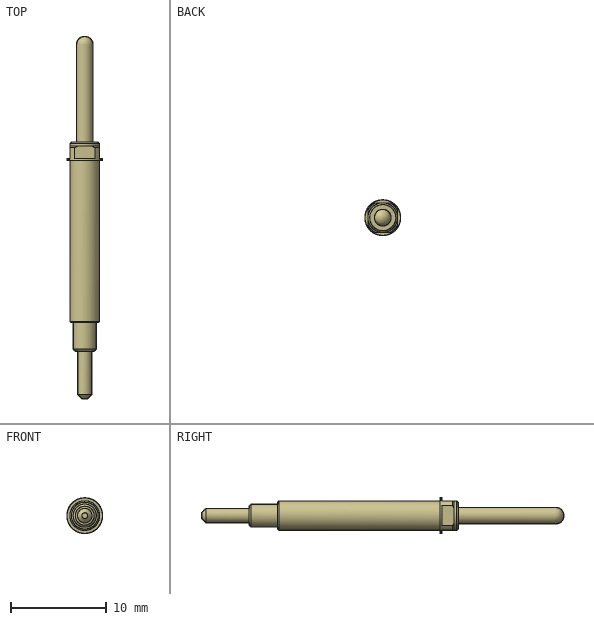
import cadquery as cq

total_length = 38.0
front_end = total_length / 2
rear_end = -total_length / 2

plunger_diameter = 1.75
plunger_length = 11.05
dome_radius = 0.85

barrel_diameter = 3.1
barrel_length = 18.95
barrel_nose_length = 0.45
barrel_nose_chamfer = 0.2
barrel_rear_chamfer = 0.15

across_flats = barrel_diameter
flange_diameter = 3.75
flange_thickness = 0.2
collar_length = 1.3
collar_chamfer = 0.15

sleeve_diameter = 2.45
sleeve_length = 3.0
sleeve_chamfer = 0.23

pin_diameter = 1.52
pin_chamfer = 0.45

barrel_front = front_end - plunger_length
barrel_rear = barrel_front - barrel_length
collar_front = barrel_front - barrel_nose_length
flange_front = collar_front - collar_length
flange_rear = flange_front - flange_thickness
sleeve_rear = barrel_rear - sleeve_length


def rod(diameter, y_rear, y_front):
    """Round bar on the Y axis between two stations."""
    face = cq.Workplane("XZ", origin=(0, y_front, 0)).circle(diameter / 2)
    return face.extrude(y_front - y_rear)


def make_plunger():
    """Round plunger with a rounded front end."""
    return rod(plunger_diameter, barrel_front, front_end).faces(">Y").edges().fillet(dome_radius)


def make_collar():
    """Collar chamfered at the front, with four flats cut down to the flange."""
    blank = rod(flange_diameter, flange_front, collar_front)
    blank = blank.faces(">Y").edges().chamfer(collar_chamfer)
    square = cq.Workplane("XZ", origin=(0, collar_front, 0)).rect(across_flats, across_flats)
    return blank.intersect(square.extrude(collar_length))


def make_chamfered_rod(diameter, y_rear, y_front, chamfer):
    """Round bar with its rear edge chamfered."""
    return rod(diameter, y_rear, y_front).faces("<Y").edges().chamfer(chamfer)


flange = rod(flange_diameter, flange_rear, flange_front)
barrel = make_chamfered_rod(barrel_diameter, barrel_rear, barrel_front, barrel_rear_chamfer)
barrel = barrel.faces(">Y").edges().chamfer(barrel_nose_chamfer)
sleeve = make_chamfered_rod(sleeve_diameter, sleeve_rear, barrel_rear, sleeve_chamfer)
pin = make_chamfered_rod(pin_diameter, rear_end, sleeve_rear, pin_chamfer)

result = make_plunger()
for section in (make_collar(), flange, barrel, sleeve, pin):
    result = result.union(section)